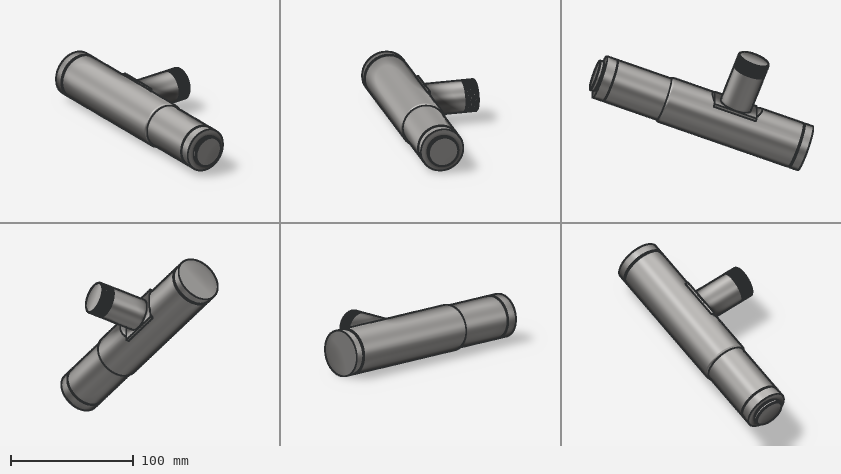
import cadquery as cq

total_length = 183.0
body_radius = 19.0
cap_length = 7.3
cap_groove_width = 1.1
groove_depth = 0.4
shoulder_start = 120.8
shoulder_length = 2.2
sleeve_radius = 18.0
sleeve_end = 178.6
sleeve_groove_start = 169.3
sleeve_groove_width = 0.5

button_radius = 12.8
button_neck_radius = 11.9
button_neck_length = 1.1
button_chamfer = 0.5

stem_x = 66.2
stem_tip_y = 58.4
stem_radius = 13.2
stem_root_radius = 7.9
ring_count = 4
ring_pitch = 2.7
ring_gap = 1.3
tip_chamfer = 0.7

seat_length = 36.6
seat_width = 28.2
seat_top_y = 15.5
seat_bottom_y = 13.0


def cylinder_x(start, length, radius):
    return cq.Workplane("YZ", origin=(start, 0, 0)).circle(radius).extrude(length)


def cylinder_y(start, length, radius):
    return cq.Workplane("XZ", origin=(stem_x, start, 0)).circle(radius).extrude(-length)


def make_body():
    """Capped body that rounds down at the shoulder to a slimmer sleeve."""
    cap_groove_end = cap_length + cap_groove_width
    shoulder_end = shoulder_start + shoulder_length
    sleeve_groove_end = sleeve_groove_start + sleeve_groove_width
    cap_groove_radius = body_radius - groove_depth
    sleeve_groove_radius = sleeve_radius - groove_depth
    profile = (
        cq.Workplane("XY")
        .lineTo(0, body_radius)
        .lineTo(cap_length, body_radius)
        .lineTo(cap_length, cap_groove_radius)
        .lineTo(cap_groove_end, cap_groove_radius)
        .lineTo(cap_groove_end, body_radius)
        .lineTo(shoulder_start, body_radius)
        .tangentArcPoint((shoulder_end, sleeve_radius), relative=False)
        .lineTo(sleeve_groove_start, sleeve_radius)
        .lineTo(sleeve_groove_start, sleeve_groove_radius)
        .lineTo(sleeve_groove_end, sleeve_groove_radius)
        .lineTo(sleeve_groove_end, sleeve_radius)
        .lineTo(sleeve_end, sleeve_radius)
        .lineTo(sleeve_end, 0)
        .close()
    )
    return profile.revolve(360, (0, 0, 0), (1, 0, 0))


def make_button():
    """Chamfered disc standing off the sleeve end on a short neck."""
    disc_start = sleeve_end + button_neck_length
    neck = cylinder_x(sleeve_end, button_neck_length, button_neck_radius)
    disc = cylinder_x(disc_start, total_length - disc_start, button_radius)
    return neck.union(disc.faces(">X").chamfer(button_chamfer))


def make_relief():
    """Cutter that flattens the body around the seat, with sloped ends."""
    half_length = seat_length / 2
    slope = body_radius - seat_top_y
    return (
        cq.Workplane("XY", origin=(stem_x, 0, 0))
        .moveTo(-half_length, seat_top_y)
        .lineTo(half_length, seat_top_y)
        .lineTo(half_length + slope, body_radius)
        .lineTo(-half_length - slope, body_radius)
        .close()
        .extrude(body_radius, both=True)
    )


def make_seat():
    """Rectangular block standing just proud of the body sides, up to the relief floor."""
    height = seat_top_y - seat_bottom_y
    block = cq.Workplane("XY").box(seat_length, height, seat_width)
    return block.translate((stem_x, seat_bottom_y + height / 2, 0))


def make_stem():
    """Plain stem with a row of separated rings on a narrow root at its tip."""
    stem_end_y = stem_tip_y - ring_count * ring_pitch
    stem = cylinder_y(0, stem_end_y, stem_radius)
    stem = stem.union(cylinder_y(0, stem_tip_y, stem_root_radius))
    for index in range(ring_count):
        ring_start = stem_end_y + index * ring_pitch + ring_gap
        stem = stem.union(cylinder_y(ring_start, ring_pitch - ring_gap, stem_radius))
    return stem.faces(">Y").chamfer(tip_chamfer)


result = make_body().cut(make_relief())
result = result.union(make_seat()).union(make_stem()).union(make_button())